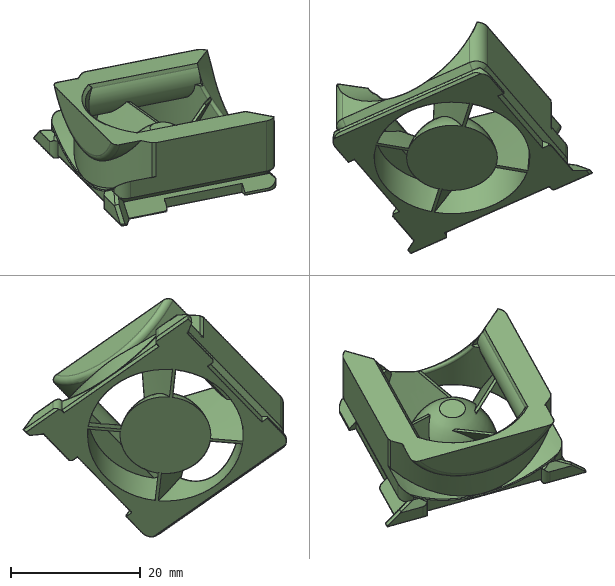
import cadquery as cq
import math

FRAME = 27.0
HALF = FRAME / 2
HEIGHT = 11.75
CORNER_R = 2.0

GROOVE_Z = 2.07
GROOVE_DEPTH = 1.03
GROOVE_HALF = HALF - GROOVE_DEPTH

REAR_RAIL_X = 14.1
FRONT_RAIL_X = 14.4
NOTCH_X = 13.0
NOTCH_REAR_Y = 7.6
NOTCH_FRONT_Y = -5.55
RAIL_END_CHAMFER = 0.35
BOTTOM_CHAMFER = 0.4
FRONT_FILL_X = 11.7
FRONT_FILL_DEPTH = 2.0

FOOT_PROTRUSION = 1.0
FOOT_FRONT_Y = -HALF - FOOT_PROTRUSION
FOOT_REAR_Y = -12.1
FOOT_TIP_X = 16.49
FOOT_TIP_Z = 0.5
FOOT_TIP_UNDERCUT = 0.3
FOOT_SHOULDER_X = 14.15
FOOT_SHOULDER_Z = 2.75
FOOT_TOP_X = 11.8
FOOT_TOP_Z = 3.65
FOOT_INNER_X = 9.5
FOOT_INNER_R = 1.0
FOOT_BACK_SPREAD = 1.55

DUCT_R = 12.0
DUCT_LIP = 0.5
BAR_X = 9.15
BAR_LIP_X = 8.9
BAR_INNER_X = 8.0
BAR_LIP_DEPTH = 0.6
BAR_TOP_Z = HEIGHT - BAR_LIP_DEPTH
BAR_BOTTOM_Z = 6.4
BAR_MIDDLE_Z = (BAR_TOP_Z + BAR_BOTTOM_Z) / 2
BAR_OUTER_X = 12.6
BAR_REAR_Y = 9.9
BAR_FRONT_Y = -9.3

SLOT_ROOF_R = 13.7
SLOT_ROOF_AXIS_Z = 18.6
SLOT_ROOF_ROUND = 1.0
SLOT_FLOOR_R = 20.0
SLOT_FLOOR_AXIS_Z = 20.7
SLOT_FLOOR_CHAMFER = 0.15
SLOT_REAR_Y = -5.0
WALL_R = 18.6
WALL_FRONT_Y = -13.3
WALL_END_CHAMFER = 0.35
WALL_END_Y = WALL_FRONT_Y + WALL_R - math.sqrt(WALL_R**2 - HALF**2)

SCOOP_AXIS_Z = 16.45
SCOOP_R = 13.85
SCOOP_SLOPE = 0.98
SCOOP_RIM_R = 0.4

HUB_R = 7.0
HUB_TOP_R = 2.0
HUB_HEIGHT = 6.75
HUB_BULGE_R = 5.1
HUB_BULGE_Z = 4.1
BLADE_COUNT = 4
BLADE_FIRST_ANGLE = 45.0
BLADE_THICKNESS = 0.5
BLADE_FOOT_V = -0.05
BLADE_ROOT_U = 1.5
BLADE_ROOT_V = -3.1
BLADE_ROOT_Z = 5.6
BLADE_END_U = 12.5
BLADE_LEAN_SLOPE = -0.18
BLADE_RISE_SLOPE = 0.43

OVERLAP = 0.2
SELECT_MARGIN = 0.1
SCOOP_OVERRUN = 1.0
CLEAR = 40.0


def cylinder(radius, z_from, z_to, center_y=0.0):
    """Upright cylinder on the line x = 0, y = center_y."""
    return cq.Workplane("XY", origin=(0, center_y, z_from)).circle(radius).extrude(z_to - z_from)


def box_between(half_width, y_from, y_to, z_from, z_to):
    """Box centred on x = 0, between the given Y and Z limits."""
    box = cq.Workplane("XY").box(2 * half_width, y_to - y_from, z_to - z_from, centered=(True, False, False))
    return box.translate((0, y_from, z_from))


def prism_along_y(points, y_from, y_to):
    """Prism with an XZ outline, spanning y_from to y_to."""
    return cq.Workplane("XZ", origin=(0, y_to, 0)).polyline(points).close().extrude(y_to - y_from)


def both_sides(solid):
    """The solid together with its mirror image across x = 0."""
    return solid.union(solid.mirror("YZ"))


def make_frame():
    """Block above the groove, with its lower edge chamfered."""
    block = cq.Workplane("XY", origin=(0, 0, GROOVE_Z)).rect(FRAME, FRAME).extrude(HEIGHT - GROOVE_Z)
    block = block.edges("|Z").fillet(CORNER_R)
    return block.faces("<Z").edges().chamfer(GROOVE_DEPTH)


def make_base():
    """Plate below the groove: sloping rails, interrupted by a notch on each side."""
    rear = box_between(REAR_RAIL_X, NOTCH_REAR_Y, HALF, 0, GROOVE_Z).edges("|Z and >Y").fillet(CORNER_R)
    middle = box_between(NOTCH_X, NOTCH_FRONT_Y, NOTCH_REAR_Y, 0, GROOVE_Z)
    front = box_between(FRONT_RAIL_X, -HALF, NOTCH_FRONT_Y, 0, GROOVE_Z)
    front = front.edges("|Z and >Y").chamfer(RAIL_END_CHAMFER)
    plan = rear.union(middle).union(front)
    spread = 2 * (GROOVE_HALF + GROOVE_Z)
    slopes = (
        cq.Workplane("XY", origin=(0, -HALF, 0))
        .rect(spread, spread + FRAME)
        .extrude(GROOVE_Z, taper=45)
    )
    fill = box_between(FRONT_FILL_X, -HALF, -HALF + FRONT_FILL_DEPTH, 0, GROOVE_Z + 2 * GROOVE_DEPTH)
    base = plan.intersect(slopes).union(fill)
    trim = (
        cq.Workplane("YZ", origin=(-CLEAR, 0, 0))
        .polyline([(-HALF + BOTTOM_CHAMFER, 0), (HALF - BOTTOM_CHAMFER, 0), (HALF, BOTTOM_CHAMFER),
                   (HALF, HEIGHT), (-HALF, HEIGHT), (-HALF, BOTTOM_CHAMFER)])
        .close()
        .extrude(2 * CLEAR)
    )
    return base.intersect(trim)


def make_feet():
    """Wedge feet: the common part of three outlines and a back face leaning inward at 45 degrees."""
    front = prism_along_y(
        [(FOOT_INNER_X, 0), (FOOT_TIP_X - FOOT_TIP_UNDERCUT, 0), (FOOT_TIP_X, FOOT_TIP_Z),
         (FOOT_SHOULDER_X, FOOT_SHOULDER_Z), (FOOT_TOP_X, FOOT_TOP_Z), (FOOT_INNER_X, FOOT_TOP_Z)],
        FOOT_FRONT_Y, FOOT_REAR_Y)
    face_top_z = FOOT_TOP_Z - FOOT_PROTRUSION
    side = (
        cq.Workplane("YZ")
        .polyline([(FOOT_REAR_Y, 0), (FOOT_FRONT_Y + BOTTOM_CHAMFER, 0), (FOOT_FRONT_Y, BOTTOM_CHAMFER),
                   (FOOT_FRONT_Y, face_top_z), (-HALF, FOOT_TOP_Z), (FOOT_REAR_Y, FOOT_TOP_Z)])
        .close()
        .extrude(CLEAR)
    )
    plan = (
        cq.Workplane("XY")
        .moveTo(FOOT_INNER_X, FOOT_REAR_Y)
        .lineTo(FOOT_INNER_X, FOOT_FRONT_Y + FOOT_INNER_R)
        .radiusArc((FOOT_INNER_X + FOOT_INNER_R, FOOT_FRONT_Y), -FOOT_INNER_R)
        .lineTo(FOOT_TIP_X, FOOT_FRONT_Y)
        .lineTo(FOOT_TIP_X, FOOT_REAR_Y)
        .close()
        .extrude(HEIGHT)
    )
    depth = FOOT_REAR_Y - FOOT_FRONT_Y
    back_outline = [(0, FOOT_REAR_Y), (FRONT_RAIL_X, FOOT_REAR_Y),
                    (FRONT_RAIL_X + FOOT_BACK_SPREAD * depth, FOOT_FRONT_Y), (0, FOOT_FRONT_Y)]
    leaning_back = (
        cq.Workplane("XY")
        .polyline(back_outline)
        .close()
        .workplane(offset=FOOT_TOP_Z)
        .polyline([(x - FOOT_TOP_Z, y) for x, y in back_outline])
        .close()
        .loft(ruled=True)
    )
    return both_sides(front.intersect(side).intersect(plan).intersect(leaning_back))


def make_lip():
    """Flare around the upper end of the duct, with square corners reaching back into the scoop."""
    flare_z = HEIGHT - DUCT_LIP
    flare = (
        cq.Workplane("XZ")
        .polyline([(0, flare_z), (DUCT_R, flare_z), (DUCT_R + DUCT_LIP, HEIGHT), (0, HEIGHT)])
        .close()
        .revolve(360, (0, 0, 0), (0, 1, 0))
    )
    flare = flare.intersect(box_between(DUCT_R + DUCT_LIP, -HALF, 0, 0, HEIGHT))
    rear_corners = box_between(BAR_X, 0, BAR_REAR_Y, BAR_MIDDLE_Z, HEIGHT)
    return flare.union(rear_corners)


def make_bars():
    """Side bars across the upper part of the duct, bulging inward."""
    bar = (
        cq.Workplane("XZ", origin=(0, BAR_REAR_Y, 0))
        .moveTo(BAR_OUTER_X, HEIGHT)
        .lineTo(BAR_X, HEIGHT)
        .lineTo(BAR_LIP_X, BAR_TOP_Z)
        .threePointArc((BAR_INNER_X, BAR_MIDDLE_Z), (BAR_LIP_X, BAR_BOTTOM_Z))
        .lineTo(BAR_OUTER_X, BAR_BOTTOM_Z)
        .close()
        .extrude(BAR_REAR_Y - BAR_FRONT_Y)
    )
    inside = cylinder(DUCT_R + DUCT_LIP + OVERLAP, 0, HEIGHT).union(
        box_between(BAR_OUTER_X, 0, BAR_REAR_Y, BAR_MIDDLE_Z, HEIGHT))
    return both_sides(bar).intersect(inside)


def make_slot():
    """Slot between two cylinders along Y, reaching back to an upright curved wall."""
    front_y = FOOT_FRONT_Y
    floor_r = SLOT_FLOOR_R + SLOT_FLOOR_CHAMFER
    floor = (
        cq.Workplane("XY", origin=(0, 0, SLOT_FLOOR_AXIS_Z))
        .moveTo(0, SLOT_REAR_Y)
        .lineTo(SLOT_FLOOR_R, SLOT_REAR_Y)
        .lineTo(SLOT_FLOOR_R, -HALF + SLOT_FLOOR_CHAMFER)
        .lineTo(floor_r, -HALF)
        .lineTo(floor_r, front_y)
        .lineTo(0, front_y)
        .close()
        .revolve(360, (0, 0, 0), (0, 1, 0))
    )
    lip_r = SLOT_ROOF_R - SLOT_ROOF_ROUND
    roof = (
        cq.Workplane("XY", origin=(0, 0, SLOT_ROOF_AXIS_Z))
        .moveTo(0, 0)
        .lineTo(SLOT_ROOF_R, 0)
        .lineTo(SLOT_ROOF_R, -HALF + SLOT_ROOF_ROUND)
        .radiusArc((lip_r, -HALF), SLOT_ROOF_ROUND)
        .lineTo(lip_r, front_y)
        .lineTo(0, front_y)
        .close()
        .revolve(360, (0, 0, 0), (0, 1, 0))
    )
    wall = cylinder(WALL_R, 0, 2 * CLEAR, WALL_FRONT_Y + WALL_R)
    return floor.cut(roof).cut(wall)


def make_scoop():
    """Cone along Y, widening toward the back."""
    length = SCOOP_R / SCOOP_SLOPE
    back_y = HALF + SCOOP_OVERRUN
    return (
        cq.Workplane("XY", origin=(0, 0, SCOOP_AXIS_Z))
        .polyline([(0, HALF - length), (SCOOP_R + SCOOP_SLOPE * SCOOP_OVERRUN, back_y), (0, back_y)])
        .close()
        .revolve(360, (0, 0, 0), (0, 1, 0))
    )


def make_hub():
    """Domed hub with a small flat top."""
    return (
        cq.Workplane("XZ")
        .lineTo(HUB_R, 0)
        .threePointArc((HUB_BULGE_R, HUB_BULGE_Z), (HUB_TOP_R, HUB_HEIGHT))
        .lineTo(0, HUB_HEIGHT)
        .close()
        .revolve(360, (0, 0, 0), (0, 1, 0))
    )


def make_blade():
    """Twisted blade along +X: radial lower edge, leaning and rising upper edge."""
    half = BLADE_THICKNESS / 2
    run = BLADE_END_U - BLADE_ROOT_U

    def section(v_top, z_top):
        return [(BLADE_FOOT_V, 0), (BLADE_FOOT_V + BLADE_THICKNESS, 0),
                (v_top + half, z_top), (v_top - half, z_top)]

    blade = (
        cq.Workplane("YZ", origin=(BLADE_ROOT_U, 0, 0))
        .polyline(section(BLADE_ROOT_V, BLADE_ROOT_Z))
        .close()
        .workplane(offset=run)
        .polyline(section(BLADE_ROOT_V + BLADE_LEAN_SLOPE * run, BLADE_ROOT_Z + BLADE_RISE_SLOPE * run))
        .close()
        .loft(ruled=True)
    )
    return blade.intersect(cylinder(DUCT_R + OVERLAP, 0, HEIGHT))


scoop = make_scoop()
bars = make_bars().cut(scoop)

shell = make_frame().union(make_base()).union(make_feet()).cut(make_slot())
wall_ends = cq.selectors.BoxSelector((-HALF - SELECT_MARGIN, WALL_END_Y - SELECT_MARGIN, HEIGHT / 2),
                                     (HALF + SELECT_MARGIN, WALL_END_Y + SELECT_MARGIN, HEIGHT))
shell = shell.edges("|Z").edges(wall_ends).chamfer(WALL_END_CHAMFER)

shell = shell.cut(cylinder(DUCT_R, 0, HEIGHT)).cut(scoop)
scoop_rim = cq.selectors.BoxSelector((-DUCT_R, DUCT_R / 2, 0), (DUCT_R, DUCT_R, HEIGHT - DUCT_LIP))
shell = shell.edges(scoop_rim).fillet(SCOOP_RIM_R)
shell = shell.cut(make_lip()).union(bars)

result = shell.union(make_hub())
for index in range(BLADE_COUNT):
    angle = BLADE_FIRST_ANGLE + index * 360 / BLADE_COUNT
    blade = make_blade().rotate((0, 0, 0), (0, 0, 1), angle)
    result = result.union(blade.cut(scoop))